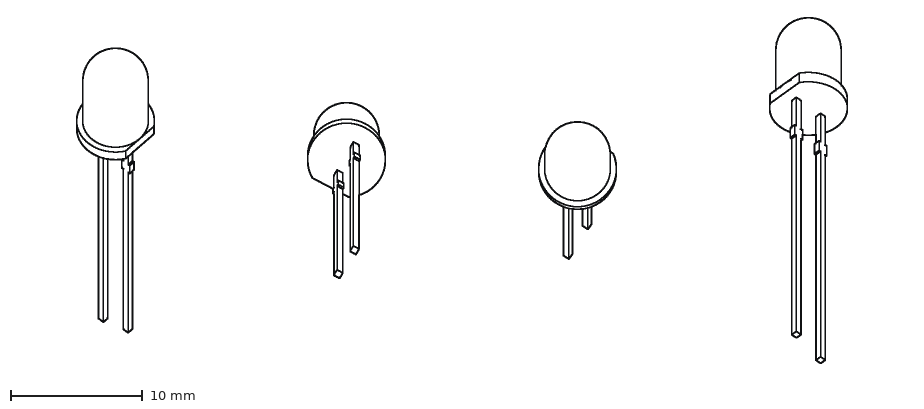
import cadquery as cq

total_height = 34.0

lens_diameter = 5.0
lens_radius = lens_diameter / 2
flange_radius = 2.95
flange_height = 1.0
lens_height = 8.57
flat_offset = lens_radius

lead_spacing = 2.55
lead_thickness = 0.5
lead_length_difference = 1.0
collar_width = 0.8
collar_height = 1.02
collar_gap = 2.95
lead_embed = 0.35

long_lead_length = total_height - lens_height
short_lead_length = long_lead_length - lead_length_difference


def make_lens():
    """Cylinder with a hemispherical dome, standing on the flange underside."""
    dome_start = lens_height - lens_radius
    cylinder = cq.Workplane("XY").circle(lens_radius).extrude(dome_start)
    dome = cq.Workplane("XY").sphere(lens_radius).translate((0, 0, dome_start))
    return cylinder.union(dome)


def make_flange():
    """Round rim cut by a flat on the +X side."""
    rim = cq.Workplane("XY").circle(flange_radius).extrude(flange_height)
    kept_length = flange_radius + flat_offset
    keep = cq.Workplane("XY").box(
        kept_length, 2 * flange_radius, flange_height, centered=(False, True, False)
    )
    return rim.intersect(keep.translate((-flange_radius, 0, 0)))


def make_lead(x, length):
    """Square wire hanging below the flange, with a wider collar near its top."""
    wire = (
        cq.Workplane("XY", origin=(x, 0, -length))
        .rect(lead_thickness, lead_thickness)
        .extrude(length + lead_embed)
    )
    collar = (
        cq.Workplane("XY", origin=(x, 0, -collar_gap - collar_height))
        .rect(collar_width, lead_thickness)
        .extrude(collar_height)
    )
    return wire.union(collar)


result = make_lens().union(make_flange())
for lead_x, lead_length in (
    (-lead_spacing / 2, long_lead_length),
    (lead_spacing / 2, short_lead_length),
):
    result = result.union(make_lead(lead_x, lead_length))